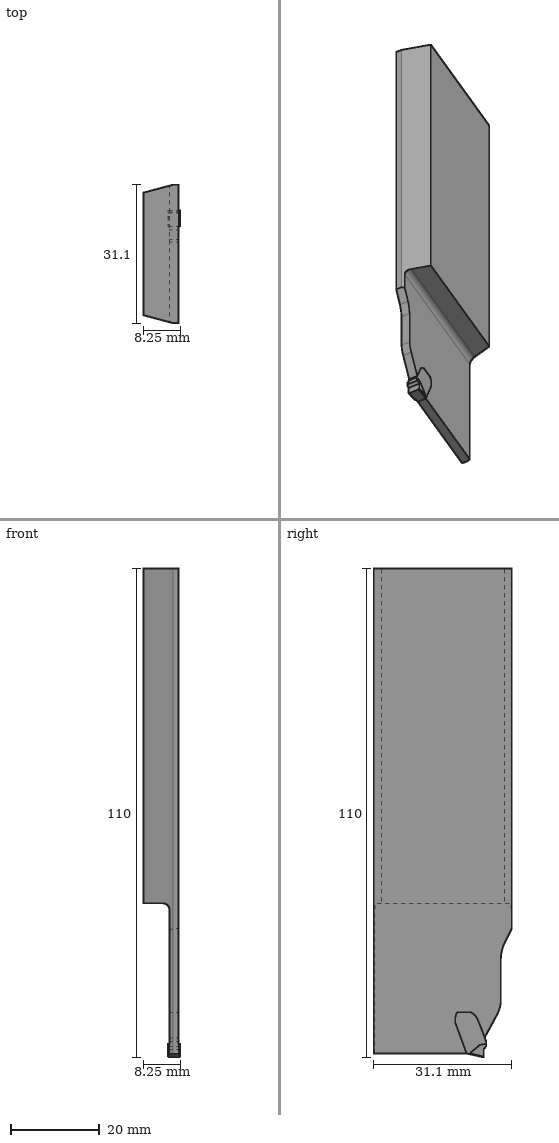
import cadquery as cq
import math

height = 110.0
holder_width = 31.1
holder_thickness = 7.9
flank_angle = 15.0
flank_depth = 6.6

blade_thickness = 2.1
shoulder_z = 34.6
shoulder_fillet = 1.4
blade_bottom_z = 0.9

insert_head_width = 2.8
head_side_chamfer = 0.2
tip_y = 9.2
nose_y = 9.8
front_step_z = 1.9
nose_z = 2.5
shank_top_z = 10.2
heel_y = 5.4
heel_z = 0.9
head_end_y = 6.2
head_end_z = heel_z * (tip_y - head_end_y) / (tip_y - heel_y)

relief_top_z = 29.0
relief_y = 13.1
relief_straight_top_z = 22.2
relief_straight_bottom_z = 12.5

half_width = holder_width / 2
flank_inset = flank_depth * math.tan(math.radians(flank_angle))
blade_x = holder_thickness - blade_thickness
blade_center_x = holder_thickness - blade_thickness / 2


def extrude_across(outline, center_x, width):
    """Extrude a closed YZ outline along X, centred on center_x."""
    return outline.extrude(width / 2, both=True).translate((center_x, 0, 0))


def make_bar():
    """Full-height bar with a dovetail section."""
    back_half_width = half_width - flank_inset
    return (
        cq.Workplane("XY")
        .workplane(offset=blade_bottom_z)
        .moveTo(0, -back_half_width)
        .lineTo(flank_depth, -half_width)
        .lineTo(holder_thickness, -half_width)
        .lineTo(holder_thickness, half_width)
        .lineTo(flank_depth, half_width)
        .lineTo(0, back_half_width)
        .close()
        .extrude(height - blade_bottom_z)
    )


def make_shoulder_cut():
    """Material removed beside the blade, with a round in the inner corner."""
    cut = cq.Workplane("XY").box(blade_x, holder_width, shoulder_z, centered=(False, True, False))
    return cut.edges(">X and >Z").fillet(shoulder_fillet)


def make_clearance_cut():
    """Curved relief along the +Y edge of the blade, leading down to the insert."""
    outline = (
        cq.Workplane("YZ")
        .moveTo(half_width, relief_top_z)
        .lineTo(13.9, 25.6)
        .threePointArc((13.3, 24.0), (relief_y, relief_straight_top_z))
        .lineTo(relief_y, relief_straight_bottom_z)
        .threePointArc((12.9, 11.2), (12.3, 9.8))
        .lineTo(9.5, 4.5)
        .lineTo(7.7, blade_bottom_z)
        .lineTo(half_width, blade_bottom_z)
        .close()
    )
    return outline.extrude(holder_thickness)


def make_insert():
    """Slanted insert: a shank flush with the blade and a wider cutting head."""
    shank_outline = (
        cq.Workplane("YZ")
        .moveTo(tip_y, 0)
        .lineTo(tip_y, front_step_z)
        .lineTo(nose_y, nose_z)
        .lineTo(nose_y, 3.6)
        .lineTo(7.8, 8.7)
        .threePointArc((7.2, 9.6), (6.3, shank_top_z))
        .lineTo(3.3, shank_top_z)
        .threePointArc((2.9, 9.1), (2.9, 7.7))
        .lineTo(heel_y, heel_z)
        .close()
    )
    head_outline = (
        cq.Workplane("YZ")
        .moveTo(tip_y, 0)
        .lineTo(tip_y, front_step_z)
        .lineTo(nose_y, nose_z)
        .lineTo(nose_y, 3.1)
        .lineTo(8.4, 2.9)
        .lineTo(6.3, 1.1)
        .lineTo(head_end_y, head_end_z)
        .close()
    )
    shank = extrude_across(shank_outline, blade_center_x, blade_thickness)
    head = extrude_across(head_outline, blade_center_x, insert_head_width)
    head = head.faces("<Z").edges("<X or >X").chamfer(head_side_chamfer)
    return shank.union(head)


insert = make_insert()
holder = make_bar().cut(make_shoulder_cut()).cut(make_clearance_cut()).cut(insert)

result = cq.Compound.makeCompound([holder.solids().val(), insert.solids().val()])